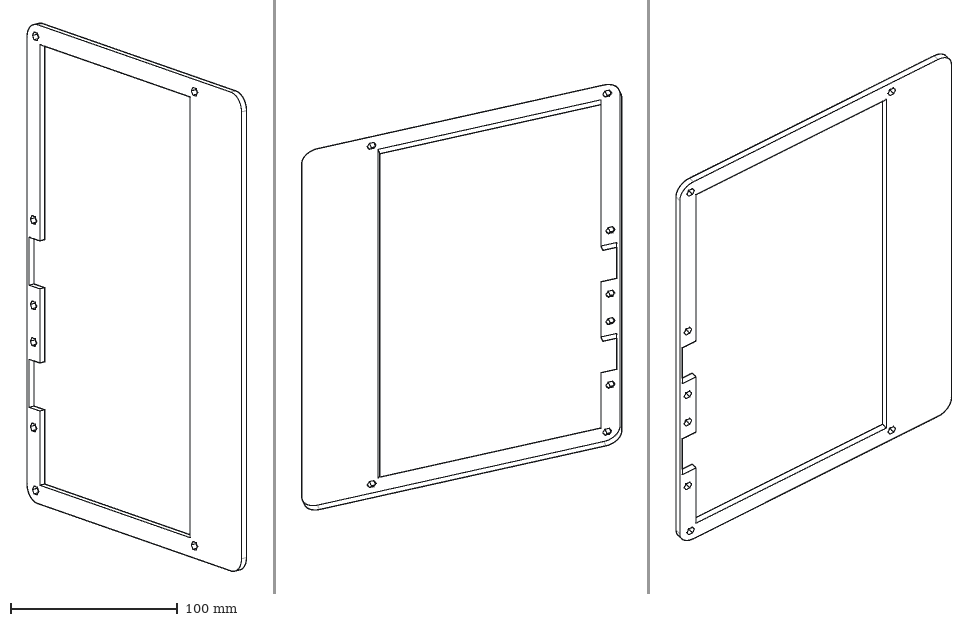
import cadquery as cq

WIDTH = 200.0
HEIGHT = 300.0
THICKNESS = 4.0
CORNER_RADIUS = 10.0

WINDOW_WIDTH = 140.0
WINDOW_HEIGHT = 276.0
LEFT_BORDER = 12.0

HOLE_SIDES = 6
HOLE_ACROSS_CORNERS = 5.5

MOUNT_SPACING_X = 148.0
MOUNT_SPACING_Z = 284.5
MOUNT_EDGE_DISTANCE = 8.0

NOTCH_HEIGHT = 30.0
NOTCH_WALL = 2.0
NOTCH_PITCH = 76.5
NOTCH_CENTERS_Z = (0.0, -NOTCH_PITCH)
NOTCH_HOLE_SPACING = 53.5
NOTCH_HOLE_EDGE_DISTANCE = 6.0

LEFT_EDGE = -WIDTH / 2
WINDOW_LEFT = LEFT_EDGE + LEFT_BORDER


def block(x_min, width, z_center, height):
    """Block through the full plate thickness, starting at x_min and centred on z_center."""
    return (
        cq.Workplane("XY")
        .box(width, THICKNESS, height)
        .translate((x_min + width / 2, 0, z_center))
    )


def drill(body, points):
    """Cut hexagonal through holes along Y at the given (x, z) points."""
    pins = (
        cq.Workplane("XZ")
        .pushPoints(points)
        .polygon(HOLE_SIDES, HOLE_ACROSS_CORNERS)
        .extrude(THICKNESS / 2, both=True)
    )
    return body.cut(pins)


def make_plate():
    """Solid plate with rounded corners."""
    return block(LEFT_EDGE, WIDTH, 0, HEIGHT).edges("|Y").fillet(CORNER_RADIUS)


def cut_window(body):
    """Open the window through the plate."""
    return body.cut(block(WINDOW_LEFT, WINDOW_WIDTH, 0, WINDOW_HEIGHT))


def cut_notches(body):
    """Extend the window into the left border, leaving a thin outer wall."""
    for z_center in NOTCH_CENTERS_Z:
        notch = block(LEFT_EDGE + NOTCH_WALL, LEFT_BORDER - NOTCH_WALL, z_center, NOTCH_HEIGHT)
        body = body.cut(notch)
    return body


def drill_mounting_holes(body):
    """Four holes near the corners of the window."""
    left = LEFT_EDGE + MOUNT_EDGE_DISTANCE
    top = MOUNT_SPACING_Z / 2
    points = [(x, z) for x in (left, left + MOUNT_SPACING_X) for z in (top, -top)]
    return drill(body, points)


def drill_notch_holes(body):
    """A pair of holes for each notch."""
    x = LEFT_EDGE + NOTCH_HOLE_EDGE_DISTANCE
    offset = NOTCH_HOLE_SPACING / 2
    points = [(x, z + side * offset) for z in NOTCH_CENTERS_Z for side in (1, -1)]
    return drill(body, points)


result = make_plate()
result = cut_window(result)
result = cut_notches(result)
result = drill_mounting_holes(result)
result = drill_notch_holes(result)